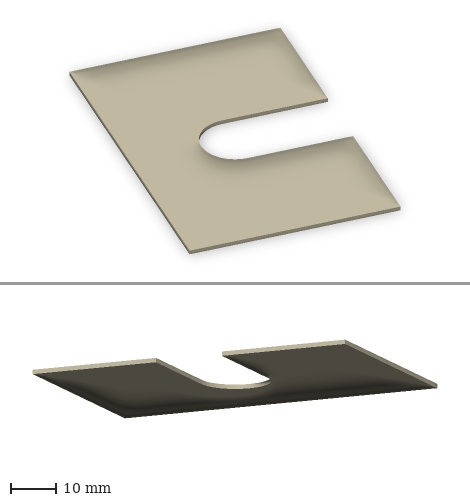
import cadquery as cq

length = 76.0
depth = 50.0
thickness = 1.0

slot_width = 16.0
slot_radius = slot_width / 2

half_length = length / 2
half_depth = depth / 2

outline = (
    cq.Workplane("XY")
    .moveTo(-half_length, -half_depth)
    .lineTo(half_length, -half_depth)
    .lineTo(half_length, half_depth)
    .lineTo(slot_radius, half_depth)
    .lineTo(slot_radius, 0)
    .threePointArc((0, -slot_radius), (-slot_radius, 0))
    .lineTo(-slot_radius, half_depth)
    .lineTo(-half_length, half_depth)
    .close()
)

result = outline.extrude(thickness)